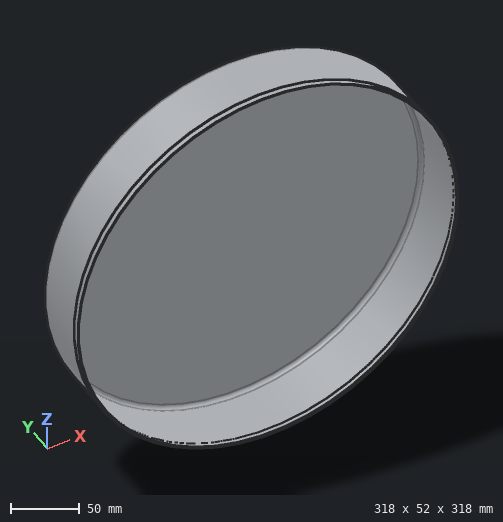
import cadquery as cq
import math

rim_diameter = 318.0
wall_diameter = 317.0
sheet_thickness = 0.8
cap_depth = 52.0
rim_band_depth = 5.7
rim_step_depth = 0.5
corner_radius = 3.8

rim_radius = rim_diameter / 2
wall_radius = wall_diameter / 2
open_y = -cap_depth / 2
closed_y = cap_depth / 2


def rounded_disc(radius, end_y, edge_radius):
    """Solid disc from the open face to end_y, rounded at its far edge."""
    diagonal = edge_radius * math.sqrt(0.5)
    arc_middle = (radius - edge_radius + diagonal, end_y - edge_radius + diagonal)
    return (
        cq.Workplane("XY")
        .moveTo(0, open_y)
        .lineTo(radius, open_y)
        .lineTo(radius, end_y - edge_radius)
        .threePointArc(arc_middle, (radius - edge_radius, end_y))
        .lineTo(0, end_y)
        .close()
        .revolve(360, (0, 0, 0), (0, 1, 0))
    )


def rim_disc(radius, depth):
    """Plain disc reaching the given depth in from the open face."""
    return (
        cq.Workplane("XZ", origin=(0, open_y, 0))
        .circle(radius)
        .extrude(-depth)
    )


outside = rounded_disc(wall_radius, closed_y, corner_radius).union(
    rim_disc(rim_radius, rim_band_depth)
)
inside = rounded_disc(
    wall_radius - sheet_thickness,
    closed_y - sheet_thickness,
    corner_radius - sheet_thickness,
).union(rim_disc(rim_radius - sheet_thickness, rim_step_depth))

result = outside.cut(inside)